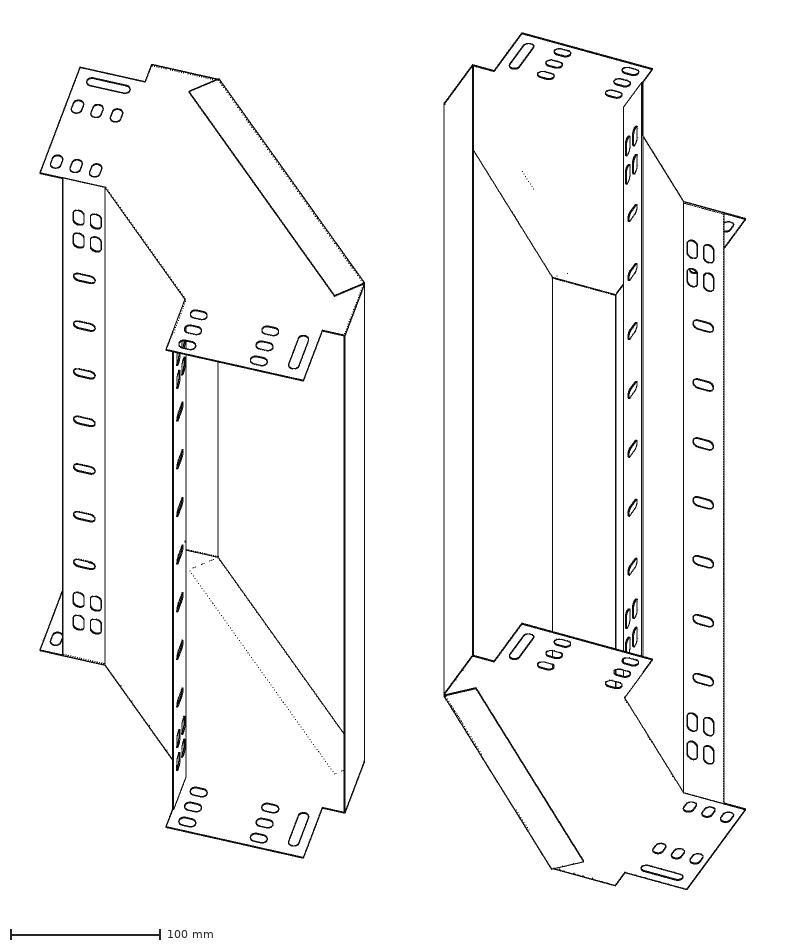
import cadquery as cq
import math

overall_size = 236.27
inside_height = 500.0
sheet = 0.8
bend_angle = 45.0

tab_length = 45.5
side_notch = 15.8
tab_far = overall_size - side_notch
tab_near = 124.4
outer_corner = 92.5
lip_depth = 23.0

flange_setback = side_notch
flange_slot_size = (15.0, 7.5)
upright_slot_positions = (27.0, 39.0)
upright_slot_heights = (188.5, 212.5)
level_slot_position = 31.0
level_slot_pitch = 50.0
level_slot_count = 7

tab_slot_size = (11.5, 7.0)
tab_slot_first = 8.0
tab_slot_pitch = 13.65
tab_slot_columns = 3
tab_slot_row_inset = 12.6
tab_slot_row_spacing = 50.0
long_slot_size = (30.0, 7.0)
long_slot_center = 22.8
long_slot_inset = 10.0

half_height = inside_height / 2
plate_top = half_height + sheet
lip_top = plate_top + sheet
flange_cut_reach = 2 * sheet
bend_shift = sheet * math.tan(math.radians(bend_angle / 2))
diagonal_length = (overall_size - outer_corner) * math.sqrt(2)
diagonal_middle = (overall_size + outer_corner) / 2


def with_mirrored_half(points):
    """Complete an outline that is symmetric about the line x = y."""
    return points + [(y, x) for x, y in reversed(points)]


def prism(points, bottom, top):
    return cq.Workplane("XY").workplane(offset=bottom).polyline(points).close().extrude(top - bottom)


def mirrored_about_diagonal(shape):
    """Swap X and Y of a shape that is symmetric about z = 0."""
    return shape.rotate((0, 0, 0), (1, 1, 0), 180)


def slot_tools(plane, centers, size, angle, half_depth):
    """Slot-shaped cutters that reach half_depth to both sides of a plane."""
    return cq.Workplane(plane).pushPoints(centers).slot2D(*size, angle).extrude(half_depth, both=True)


def plate_slots():
    """Through slots of the tabs on the low X side, long enough to pierce both plates."""
    first_row = tab_near + tab_slot_row_inset
    rows = (first_row, first_row + tab_slot_row_spacing)
    columns = [tab_slot_first + i * tab_slot_pitch for i in range(tab_slot_columns)]
    short_centers = [(x, y) for x in columns for y in rows]
    long_center = (long_slot_center, tab_far - long_slot_inset)
    short_slots = slot_tools(cq.Plane.XY(), short_centers, tab_slot_size, 90, lip_top)
    long_slot = slot_tools(cq.Plane.XY(), [long_center], long_slot_size, 0, lip_top)
    return short_slots.union(long_slot)


def flange_slots():
    """Slots through the flange that faces -Y."""
    plane = cq.Plane.XZ(origin=(0, tab_near, 0))
    upright_centers = [(x, side * z) for x in upright_slot_positions
                       for z in upright_slot_heights for side in (-1, 1)]
    middle_slot = (level_slot_count - 1) / 2
    level_centers = [(level_slot_position, (i - middle_slot) * level_slot_pitch)
                     for i in range(level_slot_count)]
    upright_slots = slot_tools(plane, upright_centers, flange_slot_size, 90, flange_cut_reach)
    level_slots = slot_tools(plane, level_centers, flange_slot_size, 0, flange_cut_reach)
    return upright_slots.union(level_slots)


def make_inner_bracket():
    """Inner wall with two slotted flanges and the top and bottom plates."""
    front_face = [(flange_setback, tab_near), (tab_length, tab_near)]
    back_face = [(flange_setback, tab_near + sheet), (tab_length + bend_shift, tab_near + sheet)]
    wall_outline = with_mirrored_half(front_face) + with_mirrored_half(back_face)[::-1]
    bracket = prism(wall_outline, -half_height, half_height)

    plate_outline = with_mirrored_half([
        (tab_length, tab_near),
        (0, tab_near),
        (0, tab_far),
        (tab_length, tab_far),
        (tab_length, overall_size),
        (outer_corner - sheet * math.sqrt(2), overall_size),
    ])
    bracket = bracket.union(prism(plate_outline, half_height, plate_top))
    bracket = bracket.union(prism(plate_outline, -plate_top, -half_height))

    for slots in (plate_slots(), flange_slots()):
        bracket = bracket.cut(slots).cut(mirrored_about_diagonal(slots))
    return bracket


def make_outer_cover():
    """Three-sided outer wall with a lip over each plate along the diagonal."""
    outer_face = [(tab_length, overall_size), (outer_corner, overall_size)]
    inner_face = [(tab_length, overall_size - sheet), (outer_corner - bend_shift, overall_size - sheet)]
    wall_outline = with_mirrored_half(outer_face) + with_mirrored_half(inner_face)[::-1]
    cover = prism(wall_outline, -half_height, half_height)

    def diagonal_slab(depth, bottom, top):
        slab = cq.Workplane("XY").box(diagonal_length, depth, top - bottom, centered=(True, False, False))
        slab = slab.translate((0, -depth, bottom)).rotate((0, 0, 0), (0, 0, 1), -bend_angle)
        return slab.translate((diagonal_middle, diagonal_middle, 0))

    cover = cover.union(diagonal_slab(sheet, -lip_top, lip_top))
    cover = cover.union(diagonal_slab(lip_depth, plate_top, lip_top))
    return cover.union(diagonal_slab(lip_depth, -lip_top, -plate_top))


inner_bracket = make_inner_bracket()
outer_cover = make_outer_cover()
result = cq.Compound.makeCompound([inner_bracket.solids().val(), outer_cover.solids().val()])